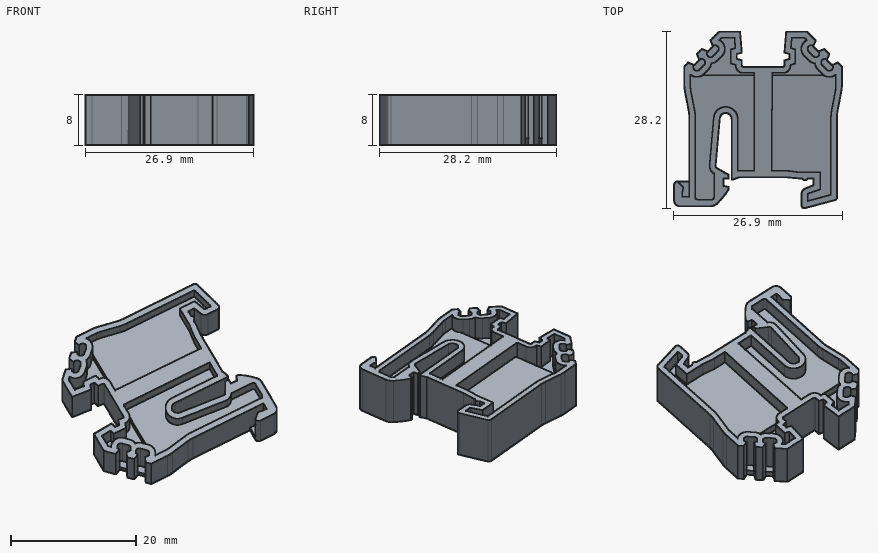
import cadquery as cq
import math


height = 28.2
thickness = 8.0
wall = 1.0
base_wall = 1.07
upper_half_width = 12.6
lower_half_width = 11.82

main_floor_z = 5.5
head_floor_z = 4.1
head_floor_start_y = 21.25
web_top_z = 1.07

seat_y = 22.6
seat_half_width = 3.39
seat_corner_radius = 0.2
head_top_inner_x = 3.67
slope_start_x = 7.02
groove_depth = 0.8
groove_low_y = 23.87
groove_high_y = 24.63
groove_flare = 0.23

bend_upper_y = 19.25
bend_lower_y = 15.12
bend_radius = 5.25

slots_per_slope = 2
first_slot_along = 2.93
slot_pitch = 3.07
slot_width = 1.15
slot_straight = 1.05
slot_depth = 1.5
mouth_outer_width = 1.92
mouth_inner_width = 1.15
mouth_depth = 0.95

slit_x = -5.98
slit_y = 14.27
slit_radius = 0.93
slit_lean = math.radians(5)
slit_corner_y = 6.55
slit_corner_radius = 0.42
slit_wall_corner_y = 6.0
slit_wall_corner_radius = 1.35

rib_half_width = 1.45
rib_lower_right_x = 1.38
rail_y = 4.95
rail_ledge_y = 4.75
rail_left_x = -3.78
rail_slope_start_x = 3.67
rail_slope_end_x = 5.8
rail_lip_x = -4.8
rail_lip_y = 4.57
bump_x = 6.69
bump_radius = 0.48
bump_height = 0.28

foot_left_x = -14.25
foot_bottom_y = 0.28
foot_corner_radius = 1.02
snap_tip_x = -5.53
snap_upper_tip_y = 5.35
snap_lower_tip_y = 2.95
snap_groove_x = -6.3
snap_groove_low_y = 3.58
snap_groove_flare = 0.17
snap_wall_x = -7.85
snap_wall_top_y = 5.55
heel_upper_corner = (-6.32, 1.72)
heel_upper_radius = 11.28
heel_lower_x = -7.85
heel_lower_radius = 1.7
cavity_corner_radius = 0.42
hook_top_y = 4.3
hook_tip_radius = 0.6
notch_left_x = -12.9
notch_bottom_y = 1.83
notch_bend_y = 2.57
hook_nose = (-12.75, 3.33)
hook_nose_radius = 0.28

claw_x = 6.12
claw_tilt = math.radians(15)
claw_radius = 0.48
claw_tip_y = 2.93
claw_tip_radius = 1.0
claw_pocket_x = 8.05
claw_pocket_y = 3.7
claw_cavity_x = claw_x + wall
claw_cavity_tip_y = 2.3
claw_cavity_tip_radius = 0.15
claw_cavity_inner_y = 3.02
claw_cavity_low_y = 1.15


def rounded_outline(vertices):
    """Closed wire through (x, y) or (x, y, corner radius) vertices."""
    corners = []
    for i, (x, y, *rest) in enumerate(vertices):
        here = cq.Vector(x, y)
        if not rest:
            corners.append((here, here, here))
            continue
        radius = rest[0]
        back = (cq.Vector(*vertices[i - 1][:2]) - here).normalized()
        ahead = (cq.Vector(*vertices[(i + 1) % len(vertices)][:2]) - here).normalized()
        half_angle = back.getAngle(ahead) / 2
        reach = radius / math.tan(half_angle)
        bisector = (back + ahead).normalized()
        middle = here + bisector * (radius / math.sin(half_angle) - radius)
        corners.append((here + back * reach, middle, here + ahead * reach))

    shortest_edge = 2.82e-05
    edges = []
    for i, (start, middle, end) in enumerate(corners):
        previous_end = corners[i - 1][2]
        if (start - previous_end).Length > shortest_edge:
            edges.append(cq.Edge.makeLine(previous_end, start))
        if (end - start).Length > shortest_edge:
            edges.append(cq.Edge.makeThreePointArc(start, middle, end))
    return cq.Wire.assembleEdges(edges)


def prism(vertices, bottom, top):
    """Upright solid with a rounded outline between two Z levels."""
    face = cq.Face.makeFromWires(rounded_outline(vertices))
    solid = cq.Solid.extrudeLinear(face, cq.Vector(0, 0, top - bottom))
    return cq.Workplane(solid.translate(cq.Vector(0, 0, bottom)))


def mirrored(vertices):
    """The same vertices on the other side of X = 0, in reverse order."""
    return [(-x, *rest) for x, *rest in reversed(vertices)]


def slit_side_x(y, radius):
    """X of the leaning slit side, tangent to a circle about the slit's round end."""
    return slit_x - radius / math.cos(slit_lean) + (y - slit_y) * math.tan(slit_lean)


def slit_crown(radius):
    """Two vertices that round the slit's upper end, from the upright to the leaning side."""
    crown_y = slit_y + radius
    return [
        (slit_x + radius, crown_y, radius),
        (slit_side_x(crown_y, radius), crown_y, radius),
    ]


slope_end_y = height - (upper_half_width - slope_start_x)
right_upper = [
    (seat_half_width, seat_y, seat_corner_radius),
    (seat_half_width, groove_low_y - groove_flare),
    (seat_half_width + groove_depth, groove_low_y),
    (seat_half_width + groove_depth, groove_high_y),
    (seat_half_width, groove_high_y + groove_flare),
    (head_top_inner_x, height),
    (slope_start_x, height),
    (upper_half_width, slope_end_y),
    (upper_half_width, bend_upper_y, bend_radius),
    (lower_half_width, bend_lower_y, bend_radius),
]

claw_low_y = -claw_radius * (math.tan(claw_tilt) + 1 / math.cos(claw_tilt) - 1)
claw_heel_y = claw_low_y + (lower_half_width - claw_x) * math.tan(claw_tilt)
right_foot = [
    (lower_half_width, claw_heel_y, claw_radius),
    (claw_x, claw_low_y, claw_radius),
    (claw_x, claw_tip_y, claw_tip_radius),
    (claw_pocket_x, claw_pocket_y),
    (claw_pocket_x, rail_ledge_y),
]
rail_edge = [
    (rail_slope_end_x, rail_ledge_y),
    (rail_slope_start_x, rail_y),
    (rail_left_x, rail_y),
    (rail_lip_x, rail_lip_y),
    (slit_x + slit_radius, rail_lip_y),
]
left_foot = [
    (slit_side_x(slit_corner_y, slit_radius), slit_corner_y, slit_corner_radius),
    (snap_tip_x, snap_upper_tip_y),
    (snap_tip_x, rail_ledge_y),
    (snap_groove_x, rail_ledge_y),
    (snap_groove_x, snap_groove_low_y),
    (snap_tip_x, snap_groove_low_y - snap_groove_flare),
    (snap_tip_x, snap_lower_tip_y),
    (*heel_upper_corner, heel_upper_radius),
    (heel_lower_x, foot_bottom_y, heel_lower_radius),
    (foot_left_x, foot_bottom_y, foot_corner_radius),
    (foot_left_x, hook_top_y, hook_tip_radius),
    (-lower_half_width, hook_top_y),
]
profile = (
    right_upper
    + right_foot
    + rail_edge
    + slit_crown(slit_radius)
    + left_foot
    + mirrored(right_upper)
)
bump = (
    cq.Workplane()
    .center(bump_x, rail_ledge_y - bump_height + bump_radius)
    .circle(bump_radius)
    .extrude(thickness)
)
body = prism(profile, 0, thickness).union(bump)

bend_angle = math.atan2(upper_half_width - lower_half_width, bend_upper_y - bend_lower_y)
bend_shift = wall * math.tan(bend_angle / 2)
slope_inset = wall * math.tan(math.radians(45) / 2)
head_lean = (head_top_inner_x - seat_half_width) / (height - groove_high_y - groove_flare)
groove_turn = math.atan2(groove_flare, groove_depth)
groove_inset = wall * math.tan((math.radians(90) - groove_turn) / 2)
groove_cavity_x = seat_half_width + groove_depth + wall
head_cavity_x = seat_half_width + wall
head_cavity_low_y = groove_low_y - groove_flare - groove_inset
head_cavity_high_y = groove_high_y + groove_flare + groove_inset
head_cavity = [
    (rib_half_width, seat_y - wall),
    (head_cavity_x, seat_y - wall, seat_corner_radius + wall),
    (head_cavity_x, head_cavity_low_y),
    (groove_cavity_x, groove_low_y - groove_inset),
    (groove_cavity_x, groove_high_y + groove_inset),
    (head_cavity_x + head_lean * groove_inset, head_cavity_high_y),
    (head_top_inner_x + wall * (1 - head_lean), height - wall),
    (slope_start_x - slope_inset, height - wall),
    (upper_half_width - wall, slope_end_y - slope_inset),
    (upper_half_width - wall, bend_upper_y - bend_shift, bend_radius - wall),
    (lower_half_width - wall, bend_lower_y - bend_shift, bend_radius + wall),
]
claw_cavity_rise = (lower_half_width - wall - claw_cavity_x) * math.tan(claw_tilt)
right_cavity = head_cavity + [
    (lower_half_width - wall, claw_cavity_low_y + claw_cavity_rise),
    (claw_cavity_x, claw_cavity_low_y),
    (claw_cavity_x, claw_cavity_tip_y, claw_cavity_tip_radius),
    (claw_pocket_x + base_wall, claw_cavity_inner_y),
    (claw_pocket_x + base_wall, rail_ledge_y + wall),
    (rail_slope_end_x, rail_ledge_y + wall),
    (rail_slope_start_x, rail_y + base_wall),
    (rib_lower_right_x, rail_y + base_wall),
]
slit_wall_radius = slit_radius + wall
slit_wall_corner_x = slit_side_x(slit_wall_corner_y, slit_wall_radius)
left_cavity = [
    (-rib_half_width, rail_y + base_wall),
    (slit_x + slit_wall_radius, rail_y + base_wall),
    *slit_crown(slit_wall_radius),
    (slit_wall_corner_x, slit_wall_corner_y, slit_wall_corner_radius),
    (snap_wall_x, snap_wall_top_y),
    (snap_wall_x, foot_bottom_y + base_wall, cavity_corner_radius),
    (wall - lower_half_width, foot_bottom_y + base_wall, cavity_corner_radius),
    *mirrored(head_cavity),
]


def slope_point(side, along, depth):
    """Point along a 45 degree slope (side +1 right, -1 left) at a depth below its surface."""
    x = slope_start_x + (along - depth) * math.sqrt(0.5)
    y = height - (along + depth) * math.sqrt(0.5)
    return side * x, y


def marker_slot(side, along, growth, bottom):
    """Round-ended slot lying along a slope, optionally grown all round."""
    radius = slot_width / 2 + growth
    return (
        cq.Workplane(origin=(*slope_point(side, along, slot_depth), bottom))
        .transformed(rotate=(0, 0, -45 * side))
        .slot2D(slot_straight + 2 * radius, 2 * radius)
        .extrude(thickness - bottom)
    )


def slot_mouth(side, along):
    """Tapered opening from the slope into a slot, through the full thickness."""
    corners = [
        slope_point(side, along - mouth_outer_width / 2, 0),
        slope_point(side, along - mouth_inner_width / 2, mouth_depth),
        slope_point(side, along + mouth_inner_width / 2, mouth_depth),
        slope_point(side, along + mouth_outer_width / 2, 0),
    ]
    return prism(corners, 0, thickness)


slot_places = [
    (side, first_slot_along + index * slot_pitch)
    for side in (1, -1)
    for index in range(slots_per_slope)
]

cavities = prism(right_cavity, head_floor_z, thickness)
cavities = cavities.union(prism(left_cavity, head_floor_z, thickness))
raised_floor = cq.Workplane().box(
    2 * upper_half_width, head_floor_start_y, main_floor_z, centered=(True, False, False)
)
cavities = cavities.cut(raised_floor)
for side, along in slot_places:
    cavities = cavities.cut(marker_slot(side, along, wall, 0))
body = body.cut(cavities)

for side, along in slot_places:
    body = body.cut(marker_slot(side, along, 0, web_top_z))
    body = body.cut(slot_mouth(side, along))

hook_notch = [
    (-lower_half_width, hook_top_y),
    (-lower_half_width, notch_bottom_y),
    (notch_left_x, notch_bottom_y),
    (notch_left_x, notch_bend_y),
    (*hook_nose, hook_nose_radius),
    (foot_left_x + hook_tip_radius, hook_top_y),
]
result = body.cut(prism(hook_notch, web_top_z, thickness))